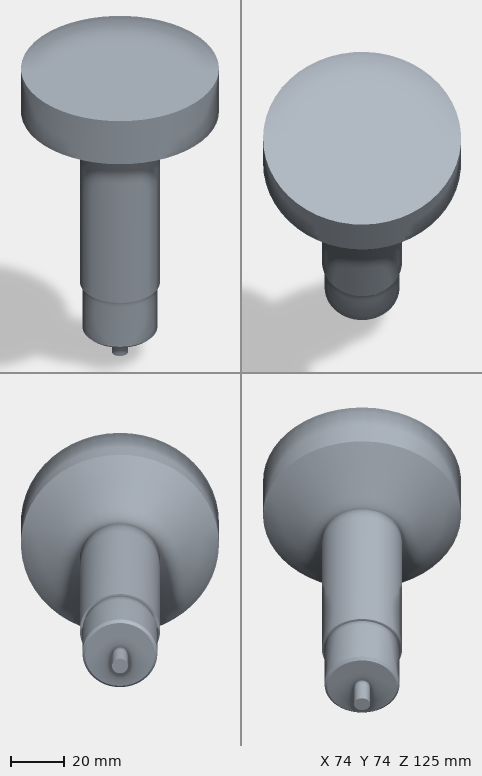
import cadquery as cq

total_length = 125.0
head_diameter = 74.0

pin_diameter = 6.0
pin_length = 10.0
spigot_diameter = 28.0
spigot_length = 21.0
spigot_chamfer = 1.0
shaft_diameter = 30.0

rim_height = 19.0
cone_height = 13.5

spigot_bottom = pin_length
shaft_bottom = spigot_bottom + spigot_length
rim_bottom = total_length - rim_height
cone_bottom = rim_bottom - cone_height


def cylinder(diameter, bottom, top):
    """Upright cylinder on the Z axis between two heights."""
    return cq.Workplane("XY").workplane(offset=bottom).circle(diameter / 2).extrude(top - bottom)


pin = cylinder(pin_diameter, 0, spigot_bottom)
spigot = cylinder(spigot_diameter, spigot_bottom, shaft_bottom).faces("<Z").chamfer(spigot_chamfer)
shaft = cylinder(shaft_diameter, shaft_bottom, cone_bottom)
cone = (
    cq.Workplane("XY")
    .workplane(offset=cone_bottom)
    .circle(shaft_diameter / 2)
    .workplane(offset=cone_height)
    .circle(head_diameter / 2)
    .loft(ruled=True)
)
rim = cylinder(head_diameter, rim_bottom, total_length)

result = pin.union(spigot).union(shaft).union(cone).union(rim)